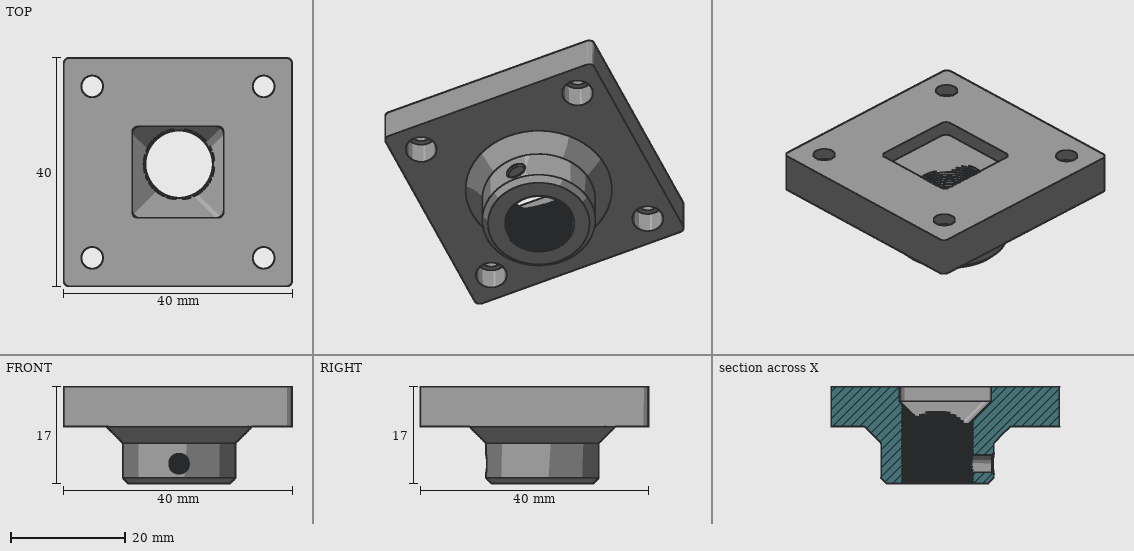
import cadquery as cq
import math

TOTAL_HEIGHT = 17.0
PLATE_SIZE = 40.0
PLATE_THICKNESS = 7.0
PLATE_BOTTOM = TOTAL_HEIGHT - PLATE_THICKNESS
PLATE_CORNER_RADIUS = 1.0
SCREW_SPACING = 30.0
SCREW_HOLE_DIAMETER = 3.75
COUNTERBORE_DIAMETER = 5.4
COUNTERBORE_DEPTH = 5.0

BARREL_X = 0.2
BARREL_Y = 1.4
BARREL_DIAMETER = 19.8
BARREL_CHAMFER = 1.0
FLARE_HEIGHT = 2.9

THREAD_PITCH = 0.5
THREAD_DIAMETER = 12.45
THREAD_DEPTH = 0.35
THREAD_CREST = THREAD_PITCH / 4
THREAD_ROOT = THREAD_PITCH / 8
THREAD_OVERLAP = 0.02
BORE_DIAMETER = THREAD_DIAMETER - 2 * THREAD_DEPTH

POCKET_SIZE = 16.0
POCKET_CORNER_RADIUS = 1.0
POCKET_DEPTH = 2.6
FUNNEL_SLOPE = 45.0
FUNNEL_DEPTH = 5.0
FUNNEL_EDGE_RADIUS = 2.0
POCKET_FLOOR = TOTAL_HEIGHT - POCKET_DEPTH

SET_SCREW_DIAMETER = 3.0
SET_SCREW_MOUTH_DIAMETER = 3.5
SET_SCREW_HEIGHT = 3.5


def make_plate():
    """Rounded square plate with four screw holes counterbored from below."""
    plate = (
        cq.Workplane("XY", origin=(0, 0, PLATE_BOTTOM))
        .rect(PLATE_SIZE, PLATE_SIZE)
        .extrude(PLATE_THICKNESS)
        .edges("|Z")
        .fillet(PLATE_CORNER_RADIUS)
    )
    return (
        plate.faces("<Z")
        .workplane()
        .rect(SCREW_SPACING, SCREW_SPACING, forConstruction=True)
        .vertices()
        .cboreHole(SCREW_HOLE_DIAMETER, COUNTERBORE_DIAMETER, COUNTERBORE_DEPTH)
    )


def make_barrel():
    """Chamfered barrel and its flare, revolved about the barrel axis."""
    radius = BARREL_DIAMETER / 2
    return (
        cq.Workplane("XZ", origin=(BARREL_X, BARREL_Y, 0))
        .moveTo(0, 0)
        .lineTo(radius - BARREL_CHAMFER, 0)
        .lineTo(radius, BARREL_CHAMFER)
        .lineTo(radius, PLATE_BOTTOM - FLARE_HEIGHT)
        .lineTo(radius + FLARE_HEIGHT, PLATE_BOTTOM)
        .lineTo(0, PLATE_BOTTOM)
        .close()
        .revolve()
    )


def make_pocket():
    """Square recess with rounded corners, open at the top."""
    return (
        cq.Workplane("XY", origin=(0, 0, POCKET_FLOOR))
        .rect(POCKET_SIZE, POCKET_SIZE)
        .extrude(POCKET_DEPTH)
        .edges("|Z")
        .fillet(POCKET_CORNER_RADIUS)
    )


def make_funnel():
    """Inverted square pyramid with rounded slanted edges; its floor falls inside the bore."""
    return (
        cq.Workplane("XY", origin=(0, 0, POCKET_FLOOR))
        .rect(POCKET_SIZE, POCKET_SIZE)
        .extrude(-FUNNEL_DEPTH, taper=FUNNEL_SLOPE)
        .edges("not #Z")
        .fillet(FUNNEL_EDGE_RADIUS)
    )


def make_bore():
    return (
        cq.Workplane("XY", origin=(BARREL_X, BARREL_Y, 0))
        .circle(BORE_DIAMETER / 2)
        .extrude(POCKET_FLOOR)
    )


def make_thread_groove():
    """Trapezoidal helical groove running from below the barrel up to the pocket."""
    start = -THREAD_PITCH
    half_root = THREAD_ROOT / 2
    half_mouth = (THREAD_PITCH - THREAD_CREST) / 2
    flank_slope = (half_mouth - half_root) / THREAD_DEPTH
    cutter_half_width = half_mouth + flank_slope * THREAD_OVERLAP
    cutter_radius = BORE_DIAMETER / 2 - THREAD_OVERLAP
    helix = cq.Wire.makeHelix(THREAD_PITCH, POCKET_FLOOR - start, BORE_DIAMETER / 2)
    groove = (
        cq.Workplane("XZ")
        .moveTo(cutter_radius, -cutter_half_width)
        .lineTo(THREAD_DIAMETER / 2, -half_root)
        .lineTo(THREAD_DIAMETER / 2, half_root)
        .lineTo(cutter_radius, cutter_half_width)
        .close()
        .sweep(cq.Workplane(helix), isFrenet=True)
    )
    return groove.translate((BARREL_X, BARREL_Y, start))


def make_set_screw_hole():
    """Radial hole into the bore with a 45 degree countersunk mouth."""
    outer_radius = BARREL_DIAMETER / 2
    mouth_radius = SET_SCREW_MOUTH_DIAMETER / 2
    hole_radius = SET_SCREW_DIAMETER / 2
    mouth_depth = outer_radius - math.sqrt(outer_radius**2 - mouth_radius**2)
    taper_end = outer_radius - mouth_depth - (mouth_radius - hole_radius)
    profile = (
        cq.Workplane("YZ")
        .moveTo(-outer_radius, 0)
        .lineTo(-outer_radius, mouth_radius)
        .lineTo(mouth_depth - outer_radius, mouth_radius)
        .lineTo(-taper_end, hole_radius)
        .lineTo(0, hole_radius)
        .lineTo(0, 0)
        .close()
    )
    hole = profile.revolve(360, (0, 0, 0), (1, 0, 0))
    return hole.translate((BARREL_X, BARREL_Y, SET_SCREW_HEIGHT))


body = make_plate().union(make_barrel())
body = body.cut(make_pocket()).cut(make_funnel()).cut(make_bore())
body = body.cut(make_set_screw_hole())
result = body.cut(make_thread_groove())